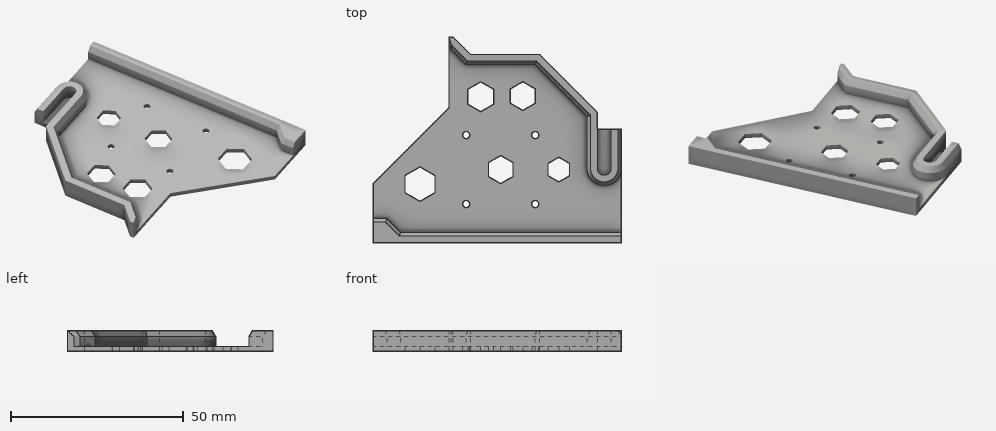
import cadquery as cq
import math

LENGTH = 72.0
WIDTH = 59.6
HEIGHT = 6.0

PLATE_THICKNESS = 1.4
LEFT_EDGE_HEIGHT = 17.1
STEP_X = 22.0
HOOK_TOP_Y = 32.9

WALL = 3.0
SLOT_WIDTH = 4.0
HOOK_CENTER_Y = 21.6
SHOULDER_Y = 54.6
SHOULDER_START_X = 28.2
SHOULDER_END_X = 48.2

FLANK_SLOPE = 3.0
FLANK_FOOT_X = 22.6
FLANK_CREST_X = 22.77

RAIL_WIDTH = 3.0
RAIL_STEP = 4.0
RAIL_END_LENGTH = 4.0

BEVEL_INSET = 1.0
BEVEL_ANGLE = 60.0
BEVEL_HEIGHT = BEVEL_INSET * math.tan(math.radians(BEVEL_ANGLE))

HOLE_DIAMETER = 2.0
HOLE_SPACING = 20.0
HOLE_PATTERN_CENTER = (37.0, 21.2)

HEXAGONS = [
    (31.2, 42.3, 7.45),
    (43.4, 42.5, 7.15),
    (37.0, 21.2, 7.0),
    (53.85, 21.2, 6.15),
    (13.6, 17.0, 8.6),
]

SLOT_RADIUS = SLOT_WIDTH / 2
SLOT_CENTER_X = LENGTH - WALL - SLOT_RADIUS
SLOT_LEFT_X = SLOT_CENTER_X - SLOT_RADIUS
SLOT_RIGHT_X = SLOT_CENTER_X + SLOT_RADIUS
SLOPE_END_Y = SHOULDER_Y - (SLOT_LEFT_X - SHOULDER_END_X)
TIP_X = SHOULDER_START_X - (WIDTH - SHOULDER_Y)
BEND_ANGLE = 45.0
MITER = math.tan(math.radians(BEND_ANGLE / 2))


def plate():
    """Flat base under the wall, the hook and the rail."""
    outline = [
        (0, 0),
        (LENGTH, 0),
        (LENGTH, HOOK_TOP_Y),
        (SLOT_LEFT_X, HOOK_TOP_Y),
        (SLOT_LEFT_X, SLOPE_END_Y),
        (SHOULDER_END_X, SHOULDER_Y),
        (SHOULDER_START_X, SHOULDER_Y),
        (TIP_X, WIDTH),
        (STEP_X, WIDTH),
        (STEP_X, LEFT_EDGE_HEIGHT + STEP_X),
        (0, LEFT_EDGE_HEIGHT),
    ]
    return cq.Workplane("XY").polyline(outline).close().extrude(PLATE_THICKNESS)


def wall_outline(sketch, thickness, flank_x):
    """Closed outline of the guide wall and hook at the given wall thickness."""
    outer_radius = SLOT_RADIUS + thickness
    inner_x = SLOT_CENTER_X - outer_radius
    outer_x = SLOT_CENTER_X + outer_radius
    bend_shift = thickness * MITER
    inner_start_x = SHOULDER_START_X - bend_shift
    inner_y = SHOULDER_Y - thickness
    flank_y = inner_y + inner_start_x - flank_x
    flank_end_y = flank_y + FLANK_SLOPE * (flank_x - STEP_X)
    return (
        sketch.moveTo(STEP_X, WIDTH)
        .lineTo(TIP_X, WIDTH)
        .lineTo(SHOULDER_START_X, SHOULDER_Y)
        .lineTo(SHOULDER_END_X, SHOULDER_Y)
        .lineTo(SLOT_LEFT_X, SLOPE_END_Y)
        .lineTo(SLOT_LEFT_X, HOOK_CENTER_Y)
        .threePointArc((SLOT_CENTER_X, HOOK_CENTER_Y - SLOT_RADIUS), (SLOT_RIGHT_X, HOOK_CENTER_Y))
        .lineTo(SLOT_RIGHT_X, HOOK_TOP_Y)
        .lineTo(outer_x, HOOK_TOP_Y)
        .lineTo(outer_x, HOOK_CENTER_Y)
        .threePointArc((SLOT_CENTER_X, HOOK_CENTER_Y - outer_radius), (inner_x, HOOK_CENTER_Y))
        .lineTo(inner_x, SLOPE_END_Y - bend_shift)
        .lineTo(SHOULDER_END_X - bend_shift, inner_y)
        .lineTo(inner_start_x, inner_y)
        .lineTo(flank_x, flank_y)
        .lineTo(STEP_X, flank_end_y)
        .close()
    )


def rail_outline(sketch, inset):
    """Closed outline of the rail with its inner edge moved back by the inset."""
    bend_shift = inset * MITER
    inner_y = RAIL_WIDTH - inset
    points = [
        (0, 0),
        (LENGTH, 0),
        (LENGTH, inner_y),
        (RAIL_END_LENGTH + RAIL_STEP - bend_shift, inner_y),
        (RAIL_END_LENGTH - bend_shift, inner_y + RAIL_STEP),
        (0, inner_y + RAIL_STEP),
    ]
    return sketch.polyline(points).close()


def bevelled(draw_foot, draw_crest):
    """Upright body on the foot outline, tapering to the crest outline at the top."""
    upright = draw_foot(cq.Workplane("XY")).extrude(HEIGHT - BEVEL_HEIGHT)
    foot = draw_foot(cq.Workplane("XY").workplane(offset=HEIGHT - BEVEL_HEIGHT))
    taper = draw_crest(foot.workplane(offset=BEVEL_HEIGHT)).loft(ruled=True)
    return upright.union(taper)


def guide_wall():
    return bevelled(
        lambda sketch: wall_outline(sketch, WALL, FLANK_FOOT_X),
        lambda sketch: wall_outline(sketch, WALL - BEVEL_INSET, FLANK_CREST_X),
    )


def rail():
    return bevelled(
        lambda sketch: rail_outline(sketch, 0),
        lambda sketch: rail_outline(sketch, BEVEL_INSET),
    )


def round_holes():
    return (
        cq.Workplane("XY")
        .center(*HOLE_PATTERN_CENTER)
        .rect(HOLE_SPACING, HOLE_SPACING, forConstruction=True)
        .vertices()
        .circle(HOLE_DIAMETER / 2)
        .extrude(PLATE_THICKNESS)
    )


def hexagon(x, y, across_flats):
    """Hexagonal prism with two sides parallel to Y."""
    return (
        cq.Workplane("XY")
        .center(x, y)
        .polygon(6, across_flats, circumscribed=True)
        .extrude(PLATE_THICKNESS)
    )


result = plate().union(guide_wall()).union(rail()).cut(round_holes())
for center_x, center_y, flats in HEXAGONS:
    result = result.cut(hexagon(center_x, center_y, flats))